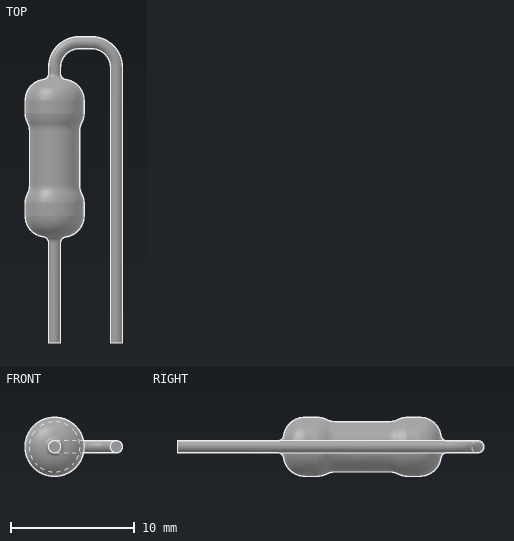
import cadquery as cq
import math

total_length = 24.8
lead_diameter = 1.0
lead_pitch = 5.0
bend_radius = 2.0

body_center_y = 14.95
waist_diameter = 4.1
bulb_diameter = 4.8
waist_half_length = 2.2
bulb_inner = 3.62
bulb_outer = 4.65
dome_radius = 1.74
neck_fillet = 0.45

lead_radius = lead_diameter / 2
waist_radius = waist_diameter / 2
bulb_radius = bulb_diameter / 2
cos_45 = math.sqrt(0.5)


def make_half_body():
    """Revolve the +Y half of the body; the profile is (radius, distance from the body centre)."""
    shoulder_length = bulb_inner - waist_half_length
    shoulder_height = bulb_radius - waist_radius
    shoulder_mid = (waist_radius + shoulder_height / 2, waist_half_length + shoulder_length / 2)

    dome_center = (bulb_radius - dome_radius, bulb_outer)
    fillet_center_r = lead_radius + neck_fillet
    center_distance = dome_radius + neck_fillet
    tilt = math.asin((fillet_center_r - dome_center[0]) / center_distance)
    fillet_center_y = bulb_outer + center_distance * math.cos(tilt)

    def on_dome(angle):
        return (
            dome_center[0] + dome_radius * math.sin(angle),
            dome_center[1] + dome_radius * math.cos(angle),
        )

    dome_mid = on_dome((math.pi / 2 + tilt) / 2)
    dome_end = on_dome(tilt)
    fillet_mid_angle = (math.pi / 2 + tilt) / 2
    fillet_mid = (
        fillet_center_r - neck_fillet * math.sin(fillet_mid_angle),
        fillet_center_y - neck_fillet * math.cos(fillet_mid_angle),
    )

    return (
        cq.Workplane("XY")
        .lineTo(waist_radius, 0)
        .lineTo(waist_radius, waist_half_length)
        .tangentArcPoint(shoulder_mid, relative=False)
        .tangentArcPoint((bulb_radius, bulb_inner), relative=False)
        .lineTo(bulb_radius, bulb_outer)
        .threePointArc(dome_mid, dome_end)
        .threePointArc(fillet_mid, (lead_radius, fillet_center_y))
        .lineTo(0, fillet_center_y)
        .close()
        .revolve(360, (0, 0), (0, 1))
    )


def make_lead():
    """Sweep the wire through the body axis, around two quarter bends and back to Y = 0."""
    crest_y = total_length - lead_radius
    bend_y = crest_y - bend_radius
    corner_offset = bend_radius * (1 - cos_45)
    path = (
        cq.Workplane("XY")
        .lineTo(0, bend_y)
        .threePointArc((corner_offset, crest_y - corner_offset), (bend_radius, crest_y))
        .lineTo(lead_pitch - bend_radius, crest_y)
        .threePointArc((lead_pitch - corner_offset, crest_y - corner_offset), (lead_pitch, bend_y))
        .lineTo(lead_pitch, 0)
    )
    return cq.Workplane("XZ").circle(lead_radius).sweep(path)


half_body = make_half_body()
body = half_body.union(half_body.mirror("XZ")).translate((0, body_center_y, 0))
result = body.union(make_lead())